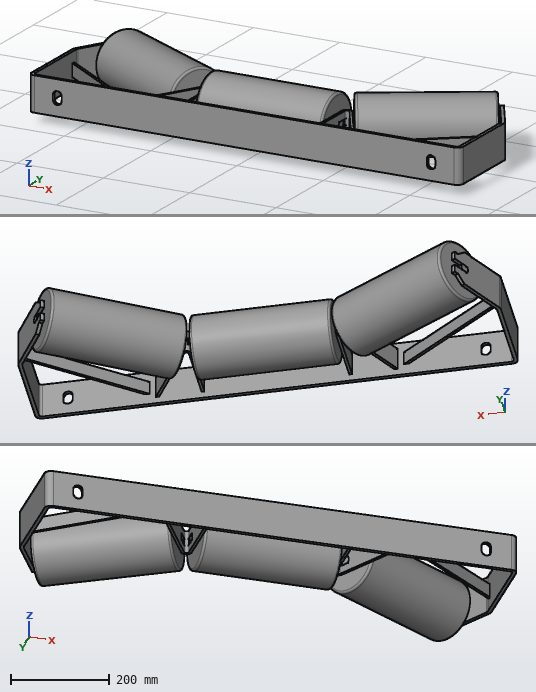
import cadquery as cq
import math

roller_diameter = 133.0
roller_length = 292.0
roller_rounding = 5.0
tilt = 30.0
centre_axis_y = 126.0
side_centre_x = 308.0
side_centre_y = 209.0
roller_gap = 4.0

shaft_diameter = 20.0
shaft_flats = 15.0

frame_length = 1000.0
frame_width = 80.0
frame_thickness = 8.0
base_bend_radius = 6.0
leg_bend_radius = 10.0
leg_overrun = 31.0
leg_taper_start = 1.0
leg_taper_length = 20.0
leg_tip_width = 50.0
mount_hole_offset = 433.0
mount_hole_width = 20.0
mount_hole_height = 30.0

bracket_width = 50.0
bracket_thickness = 6.0
bracket_bend_radius = 5.0

brace_thickness = 6.0
brace_width = 30.0
brace_wall_y = 180.0
brace_base_x = 263.0

sin_tilt = math.sin(math.radians(tilt))
cos_tilt = math.cos(math.radians(tilt))
tan_tilt = math.tan(math.radians(tilt))
half_length = frame_length / 2
seat_distance = roller_length / 2 + roller_gap
wall_x = -half_length + frame_thickness


def side_point(along, across):
    """Point given along the left roller's axis (inward) and across it (upward)."""
    x = -side_centre_x + along * cos_tilt + across * sin_tilt
    y = side_centre_y - along * sin_tilt + across * cos_tilt
    return (x, y)


def place_on_side(body):
    """Move a body built along X about the origin onto the left roller's axis."""
    turned = body.rotate((0, 0, 0), (0, 0, 1), -tilt)
    return turned.translate((-side_centre_x, side_centre_y, 0))


def mirror_x(body):
    return body.mirror("YZ")


def round_bend(body, corners, inner_radius, thickness):
    """Round the outer and inner corner of a sheet bend about one common centre."""
    for (x, y), radius in zip(corners, (inner_radius + thickness, inner_radius)):
        nearest = cq.selectors.NearestToPointSelector((x, y, 0))
        body = body.edges("|Z").edges(nearest).fillet(radius)
    return body


def plate(points, width):
    return cq.Workplane("XY", origin=(0, 0, -width / 2)).polyline(points).close().extrude(width)


def shaft_bar(length):
    """Round bar along X with two flats facing +Z and -Z."""
    bar = cq.Workplane("YZ", origin=(-length / 2, 0, 0)).circle(shaft_diameter / 2).extrude(length)
    return bar.intersect(cq.Workplane("XY").box(length, shaft_diameter, shaft_flats))


def slot_cutter(left_end, right_end, depth):
    """Bar along X between two ends, opened towards +Y; its bottom fits the shaft."""
    length = right_end - left_end
    middle = (left_end + right_end) / 2
    opening = cq.Workplane("XY").box(length, depth, shaft_flats).translate((0, depth / 2, 0))
    return shaft_bar(length).union(opening).translate((middle, 0, 0))


def make_roller(left_seat, right_seat):
    """Roller along X whose shaft stubs pass through sheets of the given thicknesses."""
    left_end = (-roller_length / 2, 0, 0)
    drum = cq.Workplane("YZ", origin=left_end).circle(roller_diameter / 2).extrude(roller_length)
    drum = drum.faces("<X or >X").edges().fillet(roller_rounding)
    shaft_length = 2 * seat_distance + left_seat + right_seat
    shaft = shaft_bar(shaft_length).translate(((right_seat - left_seat) / 2, 0, 0))
    return drum.union(shaft)


def frame_outline():
    """Left half of the bent strip with sharp bends: outline, base bend and leg bend.

    Each bend is given as its outer and inner corner.
    """
    leg_outer = -seat_distance - frame_thickness
    tip_outer = side_point(leg_outer, leg_overrun)
    tip_inner = side_point(-seat_distance, leg_overrun)
    bend_outer = (-half_length, tip_outer[1] - (tip_outer[0] + half_length) / tan_tilt)
    bend_inner = (wall_x, tip_inner[1] - (tip_inner[0] - wall_x) / tan_tilt)
    corner_outer = (-half_length, 0)
    corner_inner = (wall_x, frame_thickness)
    points = [(0, 0), corner_outer, bend_outer, tip_outer, tip_inner,
              bend_inner, corner_inner, (0, frame_thickness)]
    return points, (corner_outer, corner_inner), (bend_outer, bend_inner)


def leg_tip_cutter():
    """Removes the two tapered corners and the shaft slot from the left leg."""
    leg_middle = -seat_distance - frame_thickness / 2
    depth = 2 * frame_thickness
    taper_end = leg_taper_start + leg_taper_length
    upper = (
        cq.Workplane("YZ")
        .polyline([
            (leg_taper_start, frame_width / 2),
            (leg_overrun, frame_width / 2),
            (leg_overrun, leg_tip_width / 2),
            (taper_end, leg_tip_width / 2),
        ])
        .close()
        .extrude(depth / 2, both=True)
        .translate((leg_middle, 0, 0))
    )
    slot = slot_cutter(leg_middle - depth / 2, leg_middle + depth / 2, 2 * leg_overrun)
    return place_on_side(upper.union(upper.mirror("XY")).union(slot))


def make_frame():
    points, base_bend, leg_bend = frame_outline()
    half = plate(points, frame_width)
    half = round_bend(half, base_bend, base_bend_radius, frame_thickness)
    half = round_bend(half, leg_bend, leg_bend_radius, frame_thickness)
    half = half.cut(leg_tip_cutter())
    hole = (
        cq.Workplane("XZ", origin=(-mount_hole_offset, 0, 0))
        .slot2D(mount_hole_height, mount_hole_width, 90)
        .extrude(frame_thickness, both=True)
    )
    half = half.cut(hole)
    return half.union(mirror_x(half))


def make_bracket():
    """Left bracket: an upright leg and a leaning leg joined by a bend at the top."""
    upright_x = -seat_distance
    upright_inner_x = upright_x - bracket_thickness
    lean_outer = side_point(seat_distance, 0)
    lean_inner = side_point(seat_distance + bracket_thickness, 0)

    def lean_x(point, y):
        return point[0] + (y - point[1]) * tan_tilt

    def lean_y(point, x):
        return point[1] + (x - point[0]) / tan_tilt

    apex_outer = (upright_x, lean_y(lean_outer, upright_x))
    apex_inner = (upright_inner_x, lean_y(lean_inner, upright_inner_x))
    foot = frame_thickness
    bracket = plate([
        (upright_x, foot), apex_outer, (lean_x(lean_outer, foot), foot),
        (lean_x(lean_inner, foot), foot), apex_inner, (upright_inner_x, foot),
    ], bracket_width)
    bracket = round_bend(bracket, (apex_outer, apex_inner), bracket_bend_radius, bracket_thickness)

    slot_depth = apex_outer[1] - centre_axis_y
    upright_slot = slot_cutter(upright_inner_x, upright_x, slot_depth).translate((0, centre_axis_y, 0))
    lean_slot = place_on_side(slot_cutter(seat_distance, seat_distance + bracket_thickness, slot_depth))
    return bracket.cut(upright_slot).cut(lean_slot)


def make_brace():
    """Left brace: a flat bar from the frame wall down to the frame base."""
    rise = brace_wall_y - frame_thickness
    run = -brace_base_x - wall_x
    slant = math.hypot(rise, run)
    return plate([
        (wall_x, brace_wall_y),
        (-brace_base_x, frame_thickness),
        (-brace_base_x - brace_thickness * slant / rise, frame_thickness),
        (wall_x, brace_wall_y - brace_thickness * slant / run),
    ], brace_width)


frame = make_frame()
bracket = make_bracket()
brace = make_brace()
side_roller = place_on_side(make_roller(frame_thickness, bracket_thickness))
centre_roller = make_roller(bracket_thickness, bracket_thickness).translate((0, centre_axis_y, 0))

bodies = [frame, centre_roller]
for left_body in (bracket, brace, side_roller):
    bodies += [left_body, mirror_x(left_body)]

result = cq.Compound.makeCompound([body.solids().val() for body in bodies])